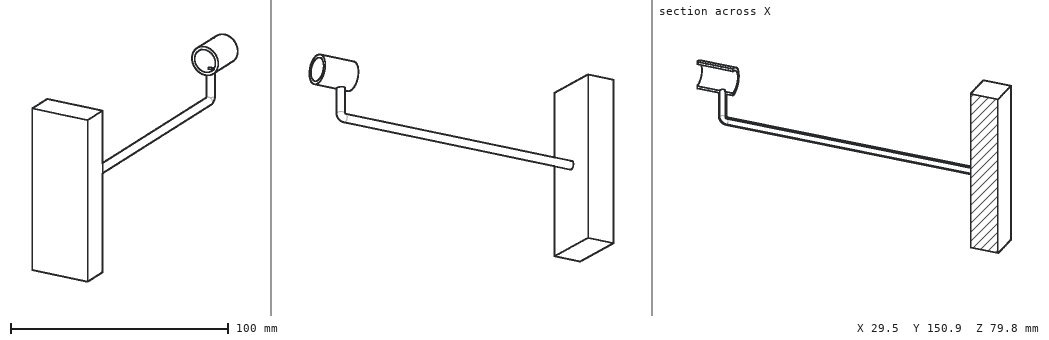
import cadquery as cq

plate_width = 29.5
plate_depth = 13.9
plate_height = 79.8

rod_diameter = 4.0
rod_radius = rod_diameter / 2
rod_bore_diameter = 2.5
bend_radius = 2.1

overall_depth = 150.9
tube_length = 18.0
tube_outer_diameter = 14.0
tube_wall = 1.5
tube_height = 21.0
post_inset = 5.3

tube_front = overall_depth - tube_length
bore_diameter = tube_outer_diameter - 2 * tube_wall
post_y = tube_front + post_inset
bend_start_y = post_y - bend_radius


def cylinder(radius, length, start, direction):
    return cq.Workplane(cq.Solid.makeCylinder(radius, length, cq.Vector(*start), cq.Vector(*direction)))


def make_plate():
    return cq.Workplane("XY").box(plate_width, plate_depth, plate_height, centered=(True, False, True))


def bent_rod(radius):
    """Long horizontal rod, quarter-turn bend and short post up to the tube axis."""
    arm = cylinder(radius, bend_start_y - plate_depth, (0, plate_depth, 0), (0, 1, 0))
    bend = (
        cq.Workplane("XZ", origin=(0, bend_start_y, 0))
        .circle(radius)
        .revolve(90, (-1.5, bend_radius, 0), (1.5, bend_radius, 0))
    )
    post = cylinder(radius, tube_height - bend_radius, (0, post_y, bend_radius), (0, 0, 1))
    return arm.union(bend).union(post)


def tube_cylinder(diameter):
    return cylinder(diameter / 2, tube_length, (0, tube_front, tube_height), (0, 1, 0))


holder = bent_rod(rod_radius).union(tube_cylinder(tube_outer_diameter))
holder = holder.cut(bent_rod(rod_bore_diameter / 2)).cut(tube_cylinder(bore_diameter))

result = make_plate().union(holder)